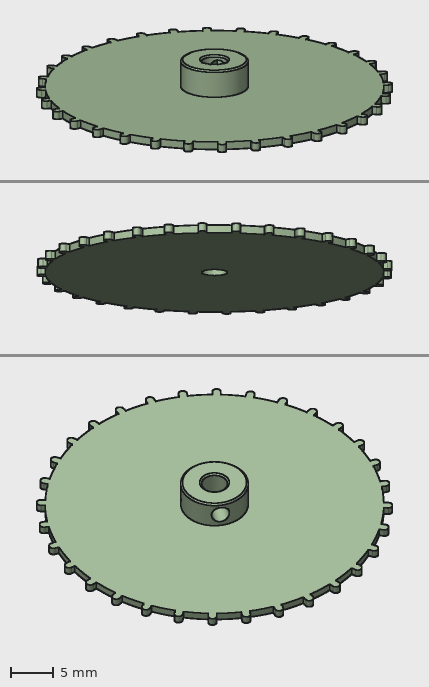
import cadquery as cq

outer_diameter = 42.0
total_height = 4.3
bore_diameter = 3.05

wheel_thickness = 0.95
rim_diameter = 40.0
tooth_count = 32
tooth_width = 1.0

hub_diameter = 8.0
hub_chamfer = 0.2
set_screw_diameter = 2.15

hub_height = total_height - wheel_thickness
outer_radius = outer_diameter / 2
rim_radius = rim_diameter / 2
tooth_tip_radius = tooth_width / 2


def make_tooth(angle):
    """Round-ended radial tooth, rooted inside the rim so that it fuses with the disc."""
    root = rim_radius - tooth_width
    tip_center = outer_radius - tooth_tip_radius
    return (
        cq.Workplane("XY")
        .moveTo(root, -tooth_tip_radius)
        .lineTo(tip_center, -tooth_tip_radius)
        .threePointArc((outer_radius, 0), (tip_center, tooth_tip_radius))
        .lineTo(root, tooth_tip_radius)
        .close()
        .extrude(wheel_thickness)
        .rotate((0, 0, 0), (0, 0, 1), angle)
    )


def make_wheel():
    """Flat disc with evenly spaced teeth around its rim and a plain bore."""
    wheel = cq.Workplane("XY").circle(rim_radius).extrude(wheel_thickness)
    for index in range(tooth_count):
        wheel = wheel.union(make_tooth(index * 360 / tooth_count))
    return wheel.faces(">Z").workplane().hole(bore_diameter)


def make_hub():
    """Bored collar on top of the wheel, chamfered above, with a set-screw hole on +Y."""
    hub = (
        cq.Workplane("XY", origin=(0, 0, wheel_thickness))
        .circle(hub_diameter / 2)
        .circle(bore_diameter / 2)
        .extrude(hub_height)
        .faces(">Z")
        .edges()
        .chamfer(hub_chamfer)
    )
    set_screw_hole = (
        cq.Workplane("XZ", origin=(0, 0, wheel_thickness + hub_height / 2))
        .circle(set_screw_diameter / 2)
        .extrude(-hub_diameter)
    )
    return hub.cut(set_screw_hole)


wheel = make_wheel()
hub = make_hub()

result = cq.Compound.makeCompound([wheel.val(), hub.val()])